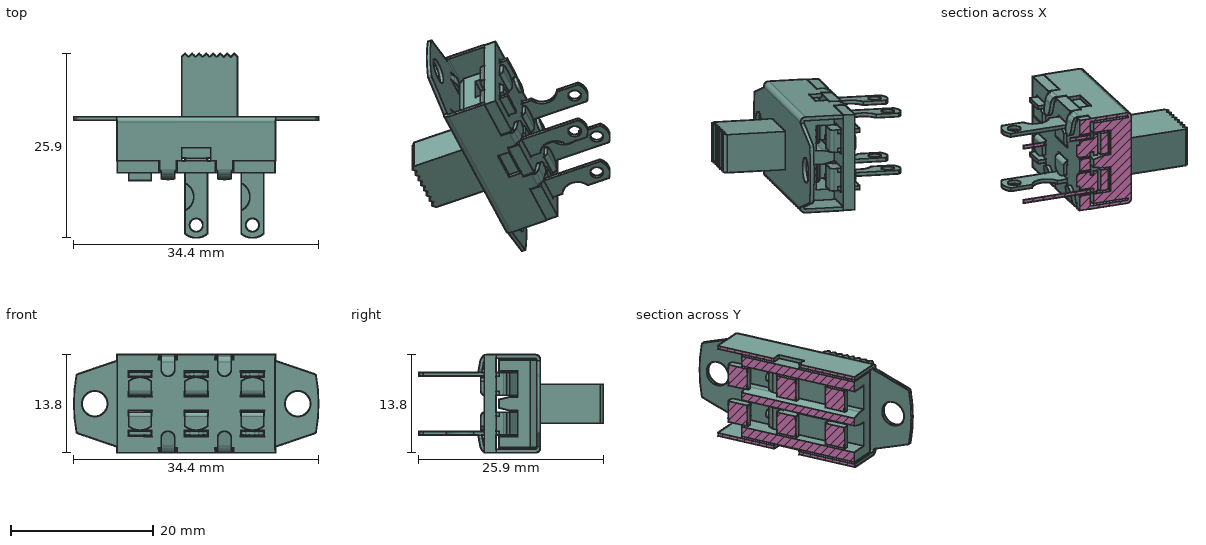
import cadquery as cq
import math


shell_half_length = 11.15
shell_half_width = 13.84 / 2
sheet = 0.54
shell_bend_radius = 0.75
shell_bottom_y = -6.22
ear_half_span = 34.43 / 2
ear_corner_x = 16.82
ear_corner_z = 4.12
ear_root_z = 6.05
ear_corner_radius = 0.3
ear_hole_diameter = 3.56
ear_hole_x = 14.27
window_half_length = 2.03
window_top_y = -4.37

detent_x_steep = -9.79
detent_x_crease = -9.11
detent_x_shallow = -7.0
detent_crease_height = 0.2
detent_height = 0.39
detent_z_inner = 3.46
detent_z_outer = 5.05

base_half_length = 11.1
base_bottom_y = -7.9
base_half_width = shell_half_width - 0.03

tab_x = 3.97
tab_half_wide = 1.18
tab_half_narrow = 0.96
tab_tight_radius = 0.92
tab_wide_radius = 1.43
tab_tight_angle = math.radians(45)
tab_bend_angle = math.radians(80)
tab_bend_y = -7.44
tab_taper_y = -7.75
tab_tip_z = 3.87
notch_half_width = 1.3
notch_depth = 0.66

slider_x = 1.885
knob_length = 7.9
knob_width = 5.52
knob_tip_y = 8.87
ridge_count = 8
ridge_depth = 0.47
carrier_half_length = 9.18
carrier_half_width = 6.16
carrier_bottom_y = -5.83
carrier_chamfer_x = 0.58
carrier_chamfer_y = -1.44
channel_top_y = -3.19
channel_outer_z = 4.62
rib_half_root = 0.98
rib_half_tip = 0.6
rib_taper_y = -4.25

terminal_pitch = 7.9
terminal_half_width = 1.6
blade_z_outer = 4.4
blade_thickness = 0.53
clip_z_inner = 1.17
clip_top_y = -4.75
clip_edge_radius = 0.45
clip_relief_top_y = -5.8
clip_relief_height = 0.56
clip_relief_depth = 0.1
lug_tip_y = knob_tip_y - 25.93
lug_shoulder_y = -16.45
lug_hole_diameter = 1.83
lug_hole_y = -15.25
short_tip_y = -9.0
lug_notch_y = -11.28
lug_notch_half_chord = 1.93
lug_notch_sag = 1.25
slot_half_length = 1.67
blade_slot_z = (3.75, 4.6)
flap_slot_z = (0.95, 1.7)
flap_outer_y = -8.38
flap_bend_radius = 0.62
flap_side_z = 3.15
flap_tip_z = 3.71

contact_half_length = 5.6
contact_slope_bottom_y = -4.3
contact_slope_run = 1.7
contact_pin_diameter = 1.2
contact_pin_y = -3.53
contact_pin_length = 0.6

ROWS = (1, -1)


def box(x0, x1, y0, y1, z0, z1):
    """Axis-aligned box between two opposite corners."""
    corner = cq.Vector(min(x0, x1), min(y0, y1), min(z0, z1))
    return cq.Workplane(obj=cq.Solid.makeBox(abs(x1 - x0), abs(y1 - y0), abs(z1 - z0), corner))


def mirrored_in_z(body):
    """Body together with its mirror image across Z = 0."""
    return body.union(body.mirror("XY"))


def lying_prism(outline, z0, z1):
    """Closed XY point list extruded from z0 to z1."""
    return cq.Workplane("XY", origin=(0, 0, z0)).polyline(outline).close().extrude(z1 - z0)


def make_plate():
    plate = (
        cq.Workplane("XZ")
        .moveTo(-shell_half_length, ear_root_z)
        .lineTo(shell_half_length, ear_root_z)
        .lineTo(ear_corner_x, ear_corner_z)
        .threePointArc((ear_half_span, 0), (ear_corner_x, -ear_corner_z))
        .lineTo(shell_half_length, -ear_root_z)
        .lineTo(-shell_half_length, -ear_root_z)
        .lineTo(-ear_corner_x, -ear_corner_z)
        .threePointArc((-ear_half_span, 0), (-ear_corner_x, ear_corner_z))
        .close()
        .extrude(sheet)
    )
    corner_zone = cq.selectors.BoxSelector(
        (-ear_half_span, -sheet, -ear_root_z), (-ear_hole_x, 0, ear_root_z)
    )
    opposite_zone = cq.selectors.BoxSelector(
        (ear_hole_x, -sheet, -ear_root_z), (ear_half_span, 0, ear_root_z)
    )
    plate = plate.edges("|Y").edges(corner_zone + opposite_zone).fillet(ear_corner_radius)
    holes = (
        cq.Workplane("XZ")
        .pushPoints([(-ear_hole_x, 0), (ear_hole_x, 0)])
        .circle(ear_hole_diameter / 2)
        .extrude(sheet)
    )
    return plate.cut(holes)


def make_shell():
    outer = box(
        -shell_half_length, shell_half_length, shell_bottom_y, 0, -shell_half_width, shell_half_width
    )
    outer = outer.faces(">Y").edges("|X").fillet(shell_bend_radius)
    inner_half_width = shell_half_width - sheet
    inner = box(
        -shell_half_length, shell_half_length, shell_bottom_y, -sheet, -inner_half_width, inner_half_width
    )
    inner = inner.faces(">Y").edges("|X").fillet(shell_bend_radius - sheet)
    windows = box(
        -window_half_length, window_half_length, shell_bottom_y, window_top_y,
        -shell_half_width, shell_half_width,
    )
    return outer.cut(inner).cut(windows).union(make_plate())


def make_detent():
    plate_inner_y = -sheet
    peak_x = (detent_x_crease + detent_x_shallow) / 2
    return (
        cq.Workplane("XY", origin=(0, 0, detent_z_inner))
        .moveTo(detent_x_steep, plate_inner_y)
        .lineTo(detent_x_crease, plate_inner_y - detent_crease_height)
        .threePointArc((peak_x, plate_inner_y - detent_height), (detent_x_shallow, plate_inner_y))
        .close()
        .extrude(detent_z_outer - detent_z_inner)
    )


def make_base():
    base = box(
        -base_half_length, base_half_length, base_bottom_y, shell_bottom_y,
        -base_half_width, base_half_width,
    )
    for row in ROWS:
        for x in (-tab_x, tab_x):
            base = base.cut(box(
                x - notch_half_width, x + notch_half_width, base_bottom_y, shell_bottom_y,
                row * (base_half_width - notch_depth), row * base_half_width,
            ))
        for column in (-1, 0, 1):
            x = column * terminal_pitch
            for z_low, z_high in (blade_slot_z, flap_slot_z):
                base = base.cut(box(
                    x - slot_half_length, x + slot_half_length, base_bottom_y, shell_bottom_y,
                    row * z_low, row * z_high,
                ))
    return base


def make_tab(x):
    """Crimp tab of the +Z wall: runs down its notch, bends inward in a tight arc followed
    by a wide one, and ends in a round tip.
    """
    tight_center = (tab_bend_y, shell_half_width - tab_tight_radius)
    radius_step = tab_wide_radius - tab_tight_radius
    wide_center = (
        tight_center[0] + radius_step * math.sin(tab_tight_angle),
        tight_center[1] - radius_step * math.cos(tab_tight_angle),
    )
    mid_tight_angle = tab_tight_angle / 2
    mid_wide_angle = (tab_tight_angle + tab_bend_angle) / 2

    def on_tight(depth, angle):
        radius = tab_tight_radius - depth
        return (tight_center[0] - radius * math.sin(angle), tight_center[1] + radius * math.cos(angle))

    def on_wide(depth, angle):
        radius = tab_wide_radius - depth
        return (wide_center[0] - radius * math.sin(angle), wide_center[1] + radius * math.cos(angle))

    def at_tip(depth):
        y, z = on_wide(depth, tab_bend_angle)
        return (y - (z - tab_tip_z) / math.tan(tab_bend_angle), tab_tip_z)

    strip = (
        cq.Workplane("YZ", origin=(x - tab_half_wide, 0, 0))
        .moveTo(shell_bottom_y, shell_half_width)
        .lineTo(tab_bend_y, shell_half_width)
        .threePointArc(on_tight(0, mid_tight_angle), on_tight(0, tab_tight_angle))
        .threePointArc(on_wide(0, mid_wide_angle), on_wide(0, tab_bend_angle))
        .lineTo(*at_tip(0))
        .lineTo(*at_tip(sheet))
        .lineTo(*on_wide(sheet, tab_bend_angle))
        .threePointArc(on_wide(sheet, mid_wide_angle), on_wide(sheet, tab_tight_angle))
        .threePointArc(on_tight(sheet, mid_tight_angle), (tab_bend_y, shell_half_width - sheet))
        .lineTo(shell_bottom_y, shell_half_width - sheet)
        .close()
        .extrude(2 * tab_half_wide)
    )
    width_outline = [
        (x - tab_half_wide, shell_bottom_y),
        (x - tab_half_wide, tab_bend_y),
        (x - tab_half_narrow, tab_taper_y),
        (x - tab_half_narrow, lug_tip_y),
        (x + tab_half_narrow, lug_tip_y),
        (x + tab_half_narrow, tab_taper_y),
        (x + tab_half_wide, tab_bend_y),
        (x + tab_half_wide, shell_bottom_y),
    ]
    tip_center_z = tab_tip_z + tab_half_narrow
    tip_outline = (
        cq.Workplane("XZ")
        .moveTo(x - tab_half_wide, shell_half_width)
        .lineTo(x - tab_half_wide, tight_center[1])
        .lineTo(x - tab_half_narrow, tight_center[1])
        .lineTo(x - tab_half_narrow, tip_center_z)
        .threePointArc((x, tab_tip_z), (x + tab_half_narrow, tip_center_z))
        .lineTo(x + tab_half_narrow, tight_center[1])
        .lineTo(x + tab_half_wide, tight_center[1])
        .lineTo(x + tab_half_wide, shell_half_width)
        .close()
        .extrude(-lug_tip_y)
    )
    return strip.intersect(lying_prism(width_outline, 0, shell_half_width)).intersect(tip_outline)


def make_knob():
    pitch = knob_length / ridge_count
    left = slider_x - knob_length / 2
    valley_y = knob_tip_y - ridge_depth
    outline = [(left, -sheet), (left, valley_y)]
    for ridge in range(ridge_count):
        start = left + ridge * pitch
        outline.append((start + pitch / 2, knob_tip_y))
        outline.append((start + pitch, valley_y))
    outline.append((left + knob_length, -sheet))
    return lying_prism(outline, -knob_width / 2, knob_width / 2)


def make_carrier():
    left = slider_x - carrier_half_length
    right = slider_x + carrier_half_length
    outline = [
        (left + carrier_chamfer_x, -sheet),
        (left, carrier_chamfer_y),
        (left, carrier_bottom_y),
        (right, carrier_bottom_y),
        (right, carrier_chamfer_y),
        (right - carrier_chamfer_x, -sheet),
    ]
    carrier = lying_prism(outline, -carrier_half_width, carrier_half_width)
    channel = (
        cq.Workplane("YZ", origin=(left, 0, 0))
        .polyline([
            (channel_top_y, channel_outer_z),
            (carrier_bottom_y, channel_outer_z),
            (carrier_bottom_y, rib_half_tip),
            (rib_taper_y, rib_half_root),
            (channel_top_y, rib_half_root),
        ])
        .close()
        .extrude(right - left)
    )
    return carrier.cut(mirrored_in_z(channel))


def make_contact():
    """Sliding contact in the +Z channel: sloped ends, with a round pin at the -X end."""
    left = slider_x - contact_half_length
    right = slider_x + contact_half_length
    outline = [
        (left + contact_slope_run, channel_top_y),
        (left, contact_slope_bottom_y),
        (left + contact_slope_run / 2, clip_top_y),
        (right - contact_slope_run / 2, clip_top_y),
        (right, contact_slope_bottom_y),
        (right - contact_slope_run, channel_top_y),
    ]
    bar = lying_prism(outline, clip_z_inner, blade_z_outer)
    pin = (
        cq.Workplane("YZ", origin=(left - contact_pin_length, 0, 0))
        .center(contact_pin_y, (clip_z_inner + blade_z_outer) / 2)
        .circle(contact_pin_diameter / 2)
        .extrude(contact_half_length)
    )
    pin = pin.intersect(box(left - contact_pin_length, slider_x, channel_top_y, clip_top_y, 0, blade_z_outer))
    return bar.union(pin)


def make_blade(is_lug):
    blade_z_inner = blade_z_outer - blade_thickness
    if not is_lug:
        return box(
            -terminal_half_width, terminal_half_width, short_tip_y, shell_bottom_y,
            blade_z_inner, blade_z_outer,
        )
    blade = (
        cq.Workplane("XY", origin=(0, 0, blade_z_inner))
        .moveTo(-terminal_half_width, shell_bottom_y)
        .lineTo(-terminal_half_width, lug_notch_y + lug_notch_half_chord)
        .threePointArc(
            (-terminal_half_width + lug_notch_sag, lug_notch_y),
            (-terminal_half_width, lug_notch_y - lug_notch_half_chord),
        )
        .lineTo(-terminal_half_width, lug_shoulder_y)
        .threePointArc((0, lug_tip_y), (terminal_half_width, lug_shoulder_y))
        .lineTo(terminal_half_width, shell_bottom_y)
        .close()
        .extrude(blade_thickness)
    )
    hole = (
        cq.Workplane("XY", origin=(0, lug_hole_y, blade_z_inner))
        .circle(lug_hole_diameter / 2)
        .extrude(blade_thickness)
    )
    return blade.cut(hole)


def make_flap():
    """Clip leg that passes the base and folds over it, ending in a shallow arc."""
    leg = (
        cq.Workplane("YZ", origin=(-terminal_half_width, 0, 0))
        .moveTo(shell_bottom_y, clip_z_inner)
        .lineTo(flap_outer_y + flap_bend_radius, clip_z_inner)
        .radiusArc((flap_outer_y, clip_z_inner + flap_bend_radius), flap_bend_radius)
        .lineTo(flap_outer_y, flap_tip_z)
        .lineTo(base_bottom_y, flap_tip_z)
        .lineTo(base_bottom_y, clip_z_inner + blade_thickness)
        .lineTo(shell_bottom_y, clip_z_inner + blade_thickness)
        .close()
        .extrude(2 * terminal_half_width)
    )
    outline = (
        cq.Workplane("XZ")
        .moveTo(-terminal_half_width, 0)
        .lineTo(-terminal_half_width, flap_side_z)
        .threePointArc((0, flap_tip_z), (terminal_half_width, flap_side_z))
        .lineTo(terminal_half_width, 0)
        .close()
        .extrude(-lug_tip_y)
    )
    return leg.intersect(outline)


def make_terminal(is_lug):
    """Upper-row terminal at X = 0: clip body behind the base, blade and folded flap."""
    clip = box(
        -terminal_half_width, terminal_half_width, shell_bottom_y, clip_top_y,
        clip_z_inner, blade_z_outer,
    )
    clip = clip.faces(">Y").edges("|Z").fillet(clip_edge_radius)
    relief_bands = (
        (clip_z_inner, clip_z_inner + clip_relief_height),
        (blade_z_outer - clip_relief_height, blade_z_outer),
    )
    for side in (-1, 1):
        for z_low, z_high in relief_bands:
            clip = clip.cut(box(
                side * (terminal_half_width - clip_relief_depth), side * terminal_half_width,
                shell_bottom_y, clip_relief_top_y, z_low, z_high,
            ))
    return clip.union(make_blade(is_lug)).union(make_flap())


result = make_shell().union(mirrored_in_z(make_detent())).union(make_base())
for tab_center in (-tab_x, tab_x):
    result = result.union(mirrored_in_z(make_tab(tab_center)))
result = result.union(make_knob()).union(make_carrier())
result = result.union(mirrored_in_z(make_contact()))
for column in (-1, 0, 1):
    upper = make_terminal(is_lug=column >= 0)
    lower = upper.rotate((0, 0, 0), (0, 1, 0), 180)
    for terminal in (upper, lower):
        result = result.union(terminal.translate((column * terminal_pitch, 0, 0)))